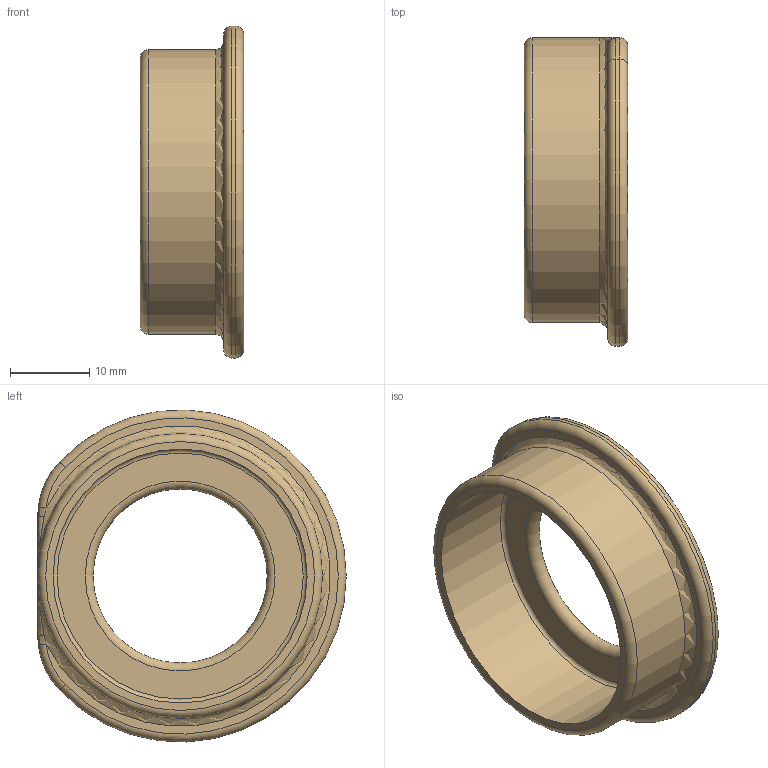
import cadquery as cq
import math

length = 13.05
flange_thickness = 2.5
flange_x = length - flange_thickness

sleeve_radius = 36 / 2
bore_radius = 32.11 / 2
hole_radius = 11.0
flange_radius = 21.0

flat_clearance = 0.001
flat_y = sleeve_radius + flat_clearance
corner_radius = 10.0

floor_thickness = 2.0
floor_x = length - floor_thickness
floor_mid_x = floor_x + floor_thickness / 2
mouth_radius = hole_radius + floor_thickness / 2

edge_round = 1.0
bore_corner_round = 0.5

flare_x = flange_x - edge_round
flare_radius = sleeve_radius + edge_round

edge_tolerance = flat_clearance / 10


def arc_point(center_along, center_across, radius, angle):
    """Point on a circle at the given angle in degrees."""
    along = center_along + radius * math.cos(math.radians(angle))
    across = center_across + radius * math.sin(math.radians(angle))
    return along, across


def make_turned_body():
    """Turned solid: sleeve with a rounded rim, flaring onto an untrimmed flange disc."""
    blank_radius = flange_radius + edge_round
    rim_radius = sleeve_radius - edge_round
    return (
        cq.Workplane("XY")
        .moveTo(0, 0)
        .lineTo(0, rim_radius)
        .threePointArc(arc_point(edge_round, rim_radius, edge_round, 135), (edge_round, sleeve_radius))
        .lineTo(flare_x, sleeve_radius)
        .threePointArc(arc_point(flare_x, flare_radius, edge_round, -45), (flange_x, flare_radius))
        .lineTo(flange_x, blank_radius)
        .lineTo(length, blank_radius)
        .lineTo(length, 0)
        .close()
        .revolve(360, (0, 0, 0), (1, 0, 0))
    )


def make_outline_prism():
    """Flange outline over the full length: a circle with a flat on +Y and round corners."""
    corner_offset = flange_radius - corner_radius
    corner_y = flat_y - corner_radius
    corner_z = math.sqrt(corner_offset**2 - corner_y**2)
    corner_angle = math.degrees(math.atan2(corner_z, corner_y))
    tangent_y, tangent_z = arc_point(0, 0, flange_radius, corner_angle)
    mid_y, mid_z = arc_point(corner_y, corner_z, corner_radius, corner_angle / 2)
    return (
        cq.Workplane("YZ")
        .moveTo(flat_y, -corner_z)
        .lineTo(flat_y, corner_z)
        .threePointArc((mid_y, mid_z), (tangent_y, tangent_z))
        .threePointArc((-flange_radius, 0), (tangent_y, -tangent_z))
        .threePointArc((mid_y, -mid_z), (flat_y, -corner_z))
        .close()
        .extrude(length)
    )


def is_outline_edge(edge):
    """True for edges that run along the trimmed flange outline, front or back."""
    points = [edge.positionAt(fraction) for fraction in (0.2, 0.5, 0.8)]
    on_flat = all(point.y > flat_y - edge_tolerance for point in points)
    beyond_flare = all(
        math.hypot(point.y, point.z) > flare_radius + edge_tolerance for point in points
    )
    return on_flat or beyond_flare


def make_body():
    """Turned body trimmed to the outline, with the outline edges rounded."""
    trimmed = make_turned_body().intersect(make_outline_prism())
    outline_edges = [edge for edge in trimmed.edges("not |X").vals() if is_outline_edge(edge)]
    return trimmed.newObject(outline_edges).fillet(edge_round)


def make_opening():
    """Bore from the open rim, closed by a floor whose hole edge is a full half-round."""
    corner_x = floor_x - bore_corner_round
    corner_r = bore_radius - bore_corner_round
    corner_mid = arc_point(corner_x, corner_r, bore_corner_round, 45)
    return (
        cq.Workplane("XY")
        .moveTo(0, 0)
        .lineTo(0, bore_radius)
        .lineTo(corner_x, bore_radius)
        .threePointArc(corner_mid, (floor_x, corner_r))
        .lineTo(floor_x, mouth_radius)
        .threePointArc((floor_mid_x, hole_radius), (length, mouth_radius))
        .lineTo(length, 0)
        .close()
        .revolve(360, (0, 0, 0), (1, 0, 0))
    )


result = make_body().cut(make_opening())